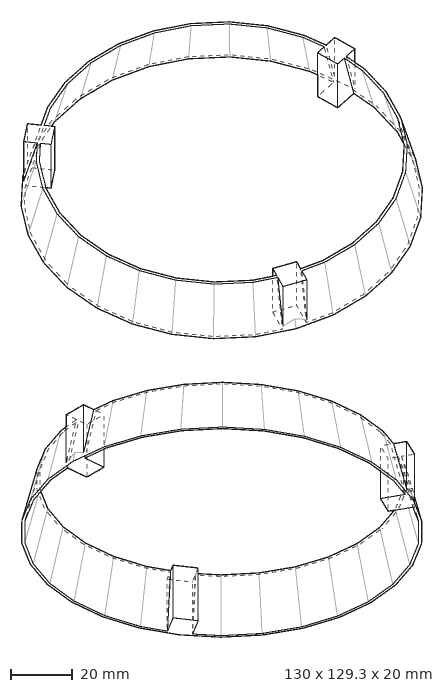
import cadquery as cq

facet_count = 30
height = 20.0
base_radius = 65.0
top_radius = 60.0
wall = 1.0

block_count = 3
block_width = 8.3
block_inner_reach = 55.1
block_outer_reach = 64.1


def faceted_cone(bottom_corner_radius, top_corner_radius):
    """Solid truncated pyramid with one corner on the +X axis."""
    return (
        cq.Workplane("XY")
        .polygon(facet_count, 2 * bottom_corner_radius)
        .workplane(offset=height)
        .polygon(facet_count, 2 * top_corner_radius)
        .loft(ruled=True)
    )


def block(angle):
    """Upright block straddling the wall, turned to the given angle in degrees."""
    length = block_outer_reach - block_inner_reach
    return (
        cq.Workplane("XY")
        .box(length, block_width, height, centered=(False, True, False))
        .translate((block_inner_reach, 0, 0))
        .rotate((0, 0, 0), (0, 0, 1), angle)
    )


outer_cone = faceted_cone(base_radius, top_radius)
inner_cone = faceted_cone(base_radius - wall, top_radius - wall)
result = outer_cone.cut(inner_cone)

for index in range(block_count):
    result = result.union(block(index * 360 / block_count))